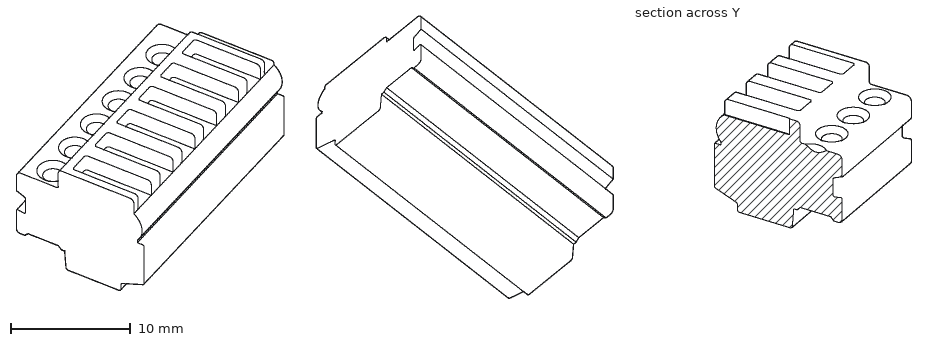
import cadquery as cq

WIDTH = 12.5
LENGTH = 22.5
HEIGHT = 10.6

POLES = 6
PITCH = 3.5
BODY_LENGTH = POLES * PITCH
STEP_DROP = 1.15

DECK_Z = 8.6
DECK_EDGE_RADIUS = 0.5

RIDGE_LEFT = 4.1
RIDGE_RIGHT = 11.5
RIDGE_EDGE_RADIUS = 0.38
RIDGE_FOOT_RADIUS = 0.15
STEP_RIGHT_RADIUS = 0.25

BEAD_TOP_Z = 9.05
BEAD_MID_X = 12.31
BEAD_MID_Z = 7.65
BEAD_FOOT_X = 11.85
BEAD_BOTTOM_Z = 6.3
LIP_Z = 6.04
LIP_RADIUS = 0.15

NOTCH_DEPTH = 0.9
NOTCH_TOP_OUTER_Z = 6.5
NOTCH_TOP_INNER_Z = 6.1
NOTCH_BOTTOM_INNER_Z = 4.33
NOTCH_BOTTOM_OUTER_Z = 4.5
NOTCH_CORNER_RADIUS = 0.15

UNDERSIDE_Z = 1.95
TOE_RADIUS = 0.4
TOE_RIGHT = 0.85
CHANNEL_RISE = 0.32
CHANNEL_LEFT = 1.15
CHANNEL_RIGHT = 4.1
CHANNEL_RIGHT_FOOT = 4.42

KEEL_TOP_LEFT = 4.72
KEEL_BOTTOM_LEFT = 4.87
KEEL_RIGHT = 10.25
KEEL_RADIUS = 0.25
SLOPE_LOW_Z = 0.85
SLOPE_HIGH_Z = 1.7
SLOPE_RADIUS = 0.2

SLOT_LEFT = 5.07
SLOT_WIDTH = 2.1
SLOT_FLOOR_Z = BEAD_TOP_Z
SLOT_RADIUS = 0.25

SCREW_X = 2.58
SCREW_Y_OFFSET = -0.08
SCREW_TOP_DIAMETER = 2.72
SCREW_FLOOR_DIAMETER = 1.73
SCREW_DEPTH = 0.5


def round_corners(solid, radius, corners):
    """Fillet the Y-parallel edges that pass through the given (x, z) corners."""
    reach = 0.02
    for x, z in corners:
        y_mid = solid.val().BoundingBox().center.y
        selector = cq.selectors.BoxSelector(
            (x - reach, y_mid - LENGTH, z - reach),
            (x + reach, y_mid + LENGTH, z + reach),
        )
        solid = solid.edges("|Y").edges(selector).fillet(radius)
    return solid


def make_profile(top_z, length):
    """Extrude the end profile along +Y, with its ridge ending at top_z."""
    outline = (
        cq.Workplane("XZ")
        .moveTo(0, UNDERSIDE_Z)
        .lineTo(0, NOTCH_BOTTOM_OUTER_Z)
        .lineTo(NOTCH_DEPTH, NOTCH_BOTTOM_INNER_Z)
        .lineTo(NOTCH_DEPTH, NOTCH_TOP_INNER_Z)
        .lineTo(0, NOTCH_TOP_OUTER_Z)
        .lineTo(0, DECK_Z)
        .lineTo(RIDGE_LEFT, DECK_Z)
        .lineTo(RIDGE_LEFT, top_z)
        .lineTo(RIDGE_RIGHT, top_z)
        .lineTo(RIDGE_RIGHT, BEAD_TOP_Z)
        .threePointArc((BEAD_MID_X, BEAD_MID_Z), (BEAD_FOOT_X, BEAD_BOTTOM_Z))
        .lineTo(BEAD_FOOT_X, LIP_Z)
        .lineTo(WIDTH, LIP_Z)
        .lineTo(WIDTH, SLOPE_HIGH_Z)
        .lineTo(KEEL_RIGHT, SLOPE_LOW_Z)
        .lineTo(KEEL_RIGHT, 0)
        .lineTo(KEEL_BOTTOM_LEFT, 0)
        .lineTo(KEEL_TOP_LEFT, UNDERSIDE_Z)
        .lineTo(CHANNEL_RIGHT_FOOT, UNDERSIDE_Z)
        .lineTo(CHANNEL_RIGHT, UNDERSIDE_Z + CHANNEL_RISE)
        .lineTo(CHANNEL_LEFT, UNDERSIDE_Z + CHANNEL_RISE)
        .lineTo(TOE_RIGHT, UNDERSIDE_Z)
        .close()
    )
    solid = outline.extrude(-length)
    solid = round_corners(solid, DECK_EDGE_RADIUS, [(0, DECK_Z)])
    solid = round_corners(solid, LIP_RADIUS, [(WIDTH, LIP_Z)])
    solid = round_corners(solid, TOE_RADIUS, [(0, UNDERSIDE_Z)])
    solid = round_corners(
        solid,
        NOTCH_CORNER_RADIUS,
        [
            (0, NOTCH_BOTTOM_OUTER_Z),
            (NOTCH_DEPTH, NOTCH_BOTTOM_INNER_Z),
            (NOTCH_DEPTH, NOTCH_TOP_INNER_Z),
        ],
    )
    solid = round_corners(solid, KEEL_RADIUS, [(KEEL_BOTTOM_LEFT, 0), (KEEL_RIGHT, 0)])
    solid = round_corners(solid, SLOPE_RADIUS, [(WIDTH, SLOPE_HIGH_Z), (KEEL_RIGHT, SLOPE_LOW_Z)])
    return round_corners(solid, RIDGE_EDGE_RADIUS, [(RIDGE_LEFT, top_z)])


def make_body():
    """Full-height stretch of the housing that holds the poles."""
    body = make_profile(HEIGHT, BODY_LENGTH)
    body = round_corners(body, RIDGE_EDGE_RADIUS, [(RIDGE_RIGHT, HEIGHT)])
    return round_corners(body, RIDGE_FOOT_RADIUS, [(RIDGE_LEFT, DECK_Z)])


def make_end_step():
    """Short stretch at the +Y end with a lowered ridge."""
    step_z = HEIGHT - STEP_DROP
    step = make_profile(step_z, LENGTH - BODY_LENGTH)
    step = round_corners(step, STEP_RIGHT_RADIUS, [(RIDGE_RIGHT, step_z)])
    return step.translate((0, BODY_LENGTH, 0))


def make_slot(y):
    """Cutter for one ridge slot, rounded at its closed -X end."""
    slot = cq.Workplane("XY").box(
        WIDTH - SLOT_LEFT, SLOT_WIDTH, HEIGHT - SLOT_FLOOR_Z, centered=(False, True, False)
    )
    slot = slot.edges("|Z and <X").fillet(SLOT_RADIUS)
    return slot.translate((SLOT_LEFT, y, SLOT_FLOOR_Z))


def make_screw_opening(y):
    """Cutter for one conical opening, widest at the deck."""
    cone = cq.Solid.makeCone(
        SCREW_TOP_DIAMETER / 2,
        SCREW_FLOOR_DIAMETER / 2,
        SCREW_DEPTH,
        pnt=cq.Vector(SCREW_X, y, DECK_Z),
        dir=cq.Vector(0, 0, -1),
    )
    return cq.Workplane(obj=cone)


result = make_body().union(make_end_step())
for pole in range(POLES):
    pole_y = (pole + 0.5) * PITCH
    result = result.cut(make_slot(pole_y))
    result = result.cut(make_screw_opening(pole_y + SCREW_Y_OFFSET))